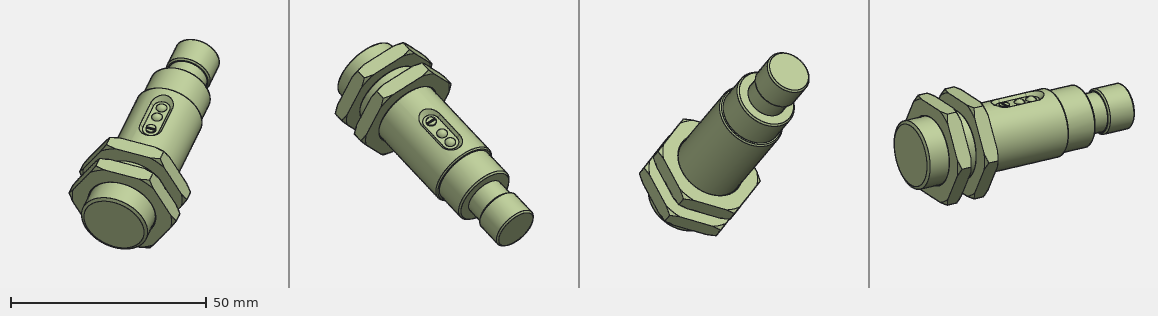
import cadquery as cq
import math

TOTAL_LENGTH = 63.5

BARREL_DIAMETER = 18.05
BARREL_END = 41.6
FACE_DIAMETER = 16.4
FACE_BEVEL_LENGTH = 0.45
SHOULDER_BEVEL = 0.4

SLEEVE_DIAMETER = 16.4
SLEEVE_END = 50.5
NECK_DIAMETER = 10.55
PLUG_DIAMETER = 12.0
PLUG_START = 55.6
REAR_BEVEL = 0.45

WINDOW_FRONT_CENTER = 27.95
WINDOW_CENTER_SPACING = 8.0
WINDOW_FLOOR_WIDTH = 4.4
WINDOW_FLOOR_HEIGHT = 7.75
WINDOW_CUT_HEIGHT = 1.6
WINDOW_WALL_ANGLE = 45.0
WINDOW_REAR_CENTER = WINDOW_FRONT_CENTER + WINDOW_CENTER_SPACING

LAMP_DIAMETER = 2.8
LAMP_HEIGHT = 0.8
LAMP_SPACING = 3.4
LAMP_COUNT = 2

SCREW_DIAMETER = 2.65
SCREW_HEIGHT = 0.4
SCREW_SLOT_WIDTH = 0.4
SCREW_SLOT_DEPTH = 0.2

NUT_ACROSS_FLATS = 25.35
NUT_THICKNESS = 4.0
NUT_FACE_DIAMETER = 27.05
NUT_BEVEL_ANGLE = 30.0
NUT_COUNTERSINK_DIAMETER = 18.55
NUT_COUNT = 2
FIRST_NUT_START = 6.0
NUT_PITCH = 2 * NUT_THICKNESS


def turn(profile):
    """Revolve a closed (radius, Y) profile about the Y axis."""
    return cq.Workplane("XY").polyline(profile).close().revolve(360, (0, 0, 0), (0, 1, 0))


def make_turned_blank():
    barrel_radius = BARREL_DIAMETER / 2
    sleeve_radius = SLEEVE_DIAMETER / 2
    neck_radius = NECK_DIAMETER / 2
    plug_radius = PLUG_DIAMETER / 2
    return turn([
        (0, 0),
        (FACE_DIAMETER / 2, 0),
        (barrel_radius, FACE_BEVEL_LENGTH),
        (barrel_radius, BARREL_END),
        (barrel_radius - SHOULDER_BEVEL, BARREL_END + SHOULDER_BEVEL),
        (sleeve_radius, BARREL_END + SHOULDER_BEVEL),
        (sleeve_radius, SLEEVE_END - REAR_BEVEL),
        (sleeve_radius - REAR_BEVEL, SLEEVE_END),
        (neck_radius, SLEEVE_END),
        (neck_radius, PLUG_START),
        (plug_radius - REAR_BEVEL, PLUG_START),
        (plug_radius, PLUG_START + REAR_BEVEL),
        (plug_radius, TOTAL_LENGTH - REAR_BEVEL),
        (plug_radius - REAR_BEVEL, TOTAL_LENGTH),
        (0, TOTAL_LENGTH),
    ])


def window_floor(y):
    """Workplane on the window floor, centred at the given Y."""
    return cq.Workplane("XY", origin=(0, y, WINDOW_FLOOR_HEIGHT))


def make_window_cutter():
    middle = (WINDOW_FRONT_CENTER + WINDOW_REAR_CENTER) / 2
    floor_length = WINDOW_CENTER_SPACING + WINDOW_FLOOR_WIDTH
    return (
        window_floor(middle)
        .slot2D(floor_length, WINDOW_FLOOR_WIDTH, 90)
        .extrude(WINDOW_CUT_HEIGHT, taper=-WINDOW_WALL_ANGLE)
    )


def make_lamp(y):
    """Spherical cap, with a root below the floor so that it joins the barrel."""
    base_radius = LAMP_DIAMETER / 2
    sphere_radius = (base_radius**2 + LAMP_HEIGHT**2) / (2 * LAMP_HEIGHT)
    sphere = window_floor(y).sphere(sphere_radius)
    sphere = sphere.translate((0, 0, LAMP_HEIGHT - sphere_radius))
    root_depth = LAMP_HEIGHT
    envelope = (
        window_floor(y)
        .workplane(offset=-root_depth)
        .circle(base_radius)
        .extrude(root_depth + LAMP_HEIGHT)
    )
    return sphere.intersect(envelope)


def make_screw_head():
    head = window_floor(WINDOW_FRONT_CENTER).circle(SCREW_DIAMETER / 2).extrude(SCREW_HEIGHT)
    slot = head.faces(">Z").workplane().rect(SCREW_DIAMETER, SCREW_SLOT_WIDTH).extrude(
        -SCREW_SLOT_DEPTH, combine=False
    )
    return head.cut(slot)


def make_sensor():
    sensor = make_turned_blank().cut(make_window_cutter())
    for index in range(LAMP_COUNT):
        sensor = sensor.union(make_lamp(WINDOW_REAR_CENTER - index * LAMP_SPACING))
    return sensor.union(make_screw_head())


def make_nut(start):
    """Hexagon nut with bevelled corners and a countersunk bore on both faces."""
    end = start + NUT_THICKNESS
    corner_radius = NUT_ACROSS_FLATS / math.sqrt(3)
    face_radius = NUT_FACE_DIAMETER / 2
    bore_radius = BARREL_DIAMETER / 2
    countersink_radius = NUT_COUNTERSINK_DIAMETER / 2
    bevel_length = (corner_radius - face_radius) * math.tan(math.radians(NUT_BEVEL_ANGLE))
    countersink_depth = countersink_radius - bore_radius

    ring = turn([
        (countersink_radius, start),
        (face_radius, start),
        (corner_radius, start + bevel_length),
        (corner_radius, end - bevel_length),
        (face_radius, end),
        (countersink_radius, end),
        (bore_radius, end - countersink_depth),
        (bore_radius, start + countersink_depth),
    ])
    hexagon = (
        cq.Workplane("XZ", origin=(0, start, 0))
        .polygon(6, 2 * corner_radius)
        .extrude(-NUT_THICKNESS)
    )
    return hexagon.intersect(ring)


sensor = make_sensor()
nuts = [make_nut(FIRST_NUT_START + index * NUT_PITCH) for index in range(NUT_COUNT)]

result = cq.Compound.makeCompound([sensor.val(), *[nut.val() for nut in nuts]])